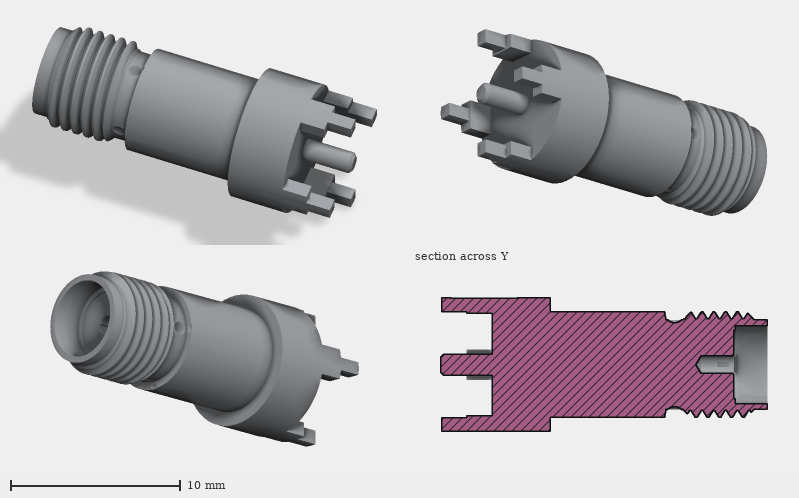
import cadquery as cq
import math

LENGTH = 19.33

BARREL_R = 2.67
BODY_R = 3.13
BODY_START = 6.01
COLLAR_R = 3.96
COLLAR_START = 12.84
COLLAR_END = 16.28

BORE_R = 2.3
BORE_DEPTH = 1.9
RECESS_R = 2.01
RECESS_DEPTH = 0.1
PIN_R = 0.64
SOCKET_R = 0.5
SOCKET_DEPTH = 1.93
SOCKET_LEAD_IN = 0.08
SLOT_WIDTH = 0.29
SLOT_DEPTH = 0.97
DRILL_POINT_ANGLE = 118.0

THREAD_START = 0.8
THREAD_END = 4.99
THREAD_R = BODY_R
THREAD_ROOT_R = 2.73
THREAD_PITCH = 0.7
THREAD_PHASE = 0.39
CREST_WIDTH = 0.12
ROOT_WIDTH = 0.08
CREST_CLEARANCE = 0.04

DIMPLE_COUNT = 4
DIMPLE_X = 5.49
DIMPLE_DEPTH = 0.17
DIMPLE_SPHERE_R = 0.58

LEG_COUNT = 4
WIDE_LEG_END = 17.78
WIDE_LEG_WIDTH = 1.8
WIDE_LEG_INNER = 3.02
THIN_LEG_END = 19.27
THIN_LEG_WIDTH = 0.77
THIN_LEG_INNER = 3.11
PIN_CHAMFER = 0.2


def cylinder(radius, start, end):
    """Round bar on the X axis."""
    return cq.Workplane("YZ", origin=(start, 0, 0)).circle(radius).extrude(end - start)


def turned(profile):
    """Solid turned about the X axis from (x, radius) points."""
    return cq.Workplane("XY").polyline(profile).close().revolve(360, (0, 0, 0), (1, 0, 0))


def thread():
    """Right-hand thread: a bar with a helical V groove, trimmed to a chamfered sleeve."""
    chamfer = THREAD_R - BARREL_R
    sleeve = turned([
        (THREAD_START, 0),
        (THREAD_START, BARREL_R),
        (THREAD_START + chamfer, THREAD_R),
        (THREAD_END - chamfer, THREAD_R),
        (THREAD_END, BARREL_R),
        (THREAD_END, 0),
    ])

    half_root = ROOT_WIDTH / 2
    half_mouth = (THREAD_PITCH - CREST_WIDTH) / 2
    flank_slope = (half_mouth - half_root) / (THREAD_R - THREAD_ROOT_R)
    half_outer = half_mouth + flank_slope * CREST_CLEARANCE
    outer_r = THREAD_R + CREST_CLEARANCE
    turns = math.ceil((THREAD_END - THREAD_PHASE) / THREAD_PITCH) + 1
    helix = cq.Wire.makeHelix(THREAD_PITCH, turns * THREAD_PITCH, THREAD_ROOT_R)
    groove = (
        cq.Workplane("XZ")
        .polyline([
            (THREAD_ROOT_R, -half_root),
            (outer_r, -half_outer),
            (outer_r, half_outer),
            (THREAD_ROOT_R, half_root),
        ])
        .close()
        .sweep(cq.Workplane(helix), isFrenet=True)
        .rotate((0, 0, 0), (0, 1, 0), 90)
        .translate((THREAD_PHASE, 0, 0))
    )
    run_out = 3 * THREAD_PITCH
    threaded_bar = cylinder(THREAD_R, THREAD_START - run_out, THREAD_END + run_out).cut(groove)
    return threaded_bar.intersect(sleeve)


def leg():
    """Stepped solder leg on the +Z side, its outer face following the collar."""
    def step(width, inner, start, end):
        block = cq.Workplane("XY").box(
            end - start, width, COLLAR_R - inner, centered=(False, True, False)
        )
        return block.translate((start, 0, inner)).intersect(cylinder(COLLAR_R, start, end))

    wide = step(WIDE_LEG_WIDTH, WIDE_LEG_INNER, COLLAR_END, WIDE_LEG_END)
    thin = step(THIN_LEG_WIDTH, THIN_LEG_INNER, WIDE_LEG_END, THIN_LEG_END)
    return wide.union(thin)


def around_axis(shape, count):
    """Copies of a shape spaced evenly about the X axis."""
    copies = shape
    for i in range(1, count):
        copies = copies.union(shape.rotate((0, 0, 0), (1, 0, 0), i * 360 / count))
    return copies


def socket():
    """Contact hole in the recess floor: conical lead-in, drill point bottom and two side slots."""
    mouth_r = SOCKET_R + SOCKET_LEAD_IN
    point_length = SOCKET_R / math.tan(math.radians(DRILL_POINT_ANGLE / 2))
    hole = turned([
        (0, 0),
        (0, mouth_r),
        (SOCKET_LEAD_IN, SOCKET_R),
        (SOCKET_DEPTH, SOCKET_R),
        (SOCKET_DEPTH + point_length, 0),
    ])
    slots = (
        cq.Workplane("XY")
        .box(SLOT_DEPTH, 2 * PIN_R, SLOT_WIDTH, centered=(False, True, True))
        .intersect(cylinder(PIN_R, 0, SLOT_DEPTH))
    )
    return hole.union(slots).translate((BORE_DEPTH + RECESS_DEPTH, 0, 0))


def dimple():
    """Ball that sinks a shallow dimple into the top of the barrel."""
    center_z = BARREL_R - DIMPLE_DEPTH + DIMPLE_SPHERE_R
    return cq.Workplane("XY").sphere(DIMPLE_SPHERE_R).translate((DIMPLE_X, 0, center_z))


result = (
    cylinder(BARREL_R, 0, BODY_START)
    .union(cylinder(BODY_R, BODY_START, COLLAR_START))
    .union(cylinder(COLLAR_R, COLLAR_START, COLLAR_END))
    .union(cylinder(PIN_R, COLLAR_END, LENGTH).faces(">X").chamfer(PIN_CHAMFER))
    .union(around_axis(leg(), LEG_COUNT))
    .union(thread())
    .cut(cylinder(BORE_R, 0, BORE_DEPTH))
    .cut(cylinder(RECESS_R, BORE_DEPTH, BORE_DEPTH + RECESS_DEPTH))
    .cut(socket())
    .cut(around_axis(dimple(), DIMPLE_COUNT))
)